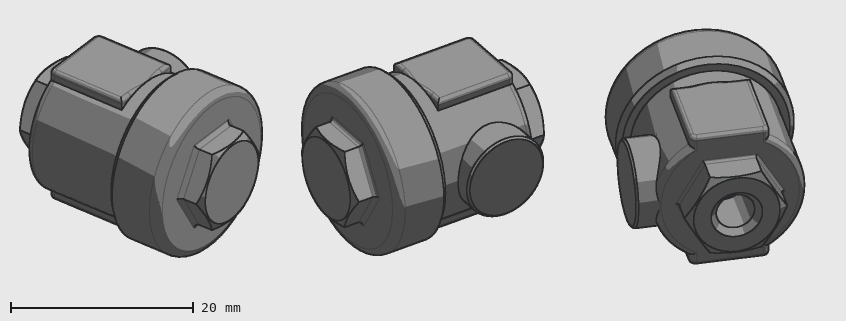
import cadquery as cq
import math

total_length = 25.2
body_start = 3.5
flange_start = 15.72
flange_end = 22.4

body_diameter = 17.0
body_end_radius = 0.75
flange_diameter = 20.0
flange_chamfer = 0.6
flange_end_radius = 1.0

selection_margin = 0.03

hex_across_flats = 10.0
hex_across_corners = hex_across_flats / math.cos(math.radians(30))
hex_face_diameter = 9.68
hex_chamfer_angle = 30.0
open_hex_root_radius = 0.3
closed_hex_root_radius = 0.5

bore_diameter = 4.3
bore_mouth_diameter = 5.75
bore_depth = 6.3

pad_length = 10.0
pad_width = 8.95
pad_top = 8.52
pad_edge_radius = 0.5
pad_corner_radius = 0.75

port_diameter = 10.0
port_end = 10.48
port_chamfer = 0.25


def x_cylinder(diameter, start, end):
    """Cylinder around the main axis between two X stations."""
    return cq.Workplane("YZ", origin=(start, 0, 0)).circle(diameter / 2).extrude(end - start)


def hexagon_end(face_x, root_x):
    """Hexagonal prism from its free face to its root, corners cut by a cone at the free face."""
    direction = math.copysign(1, root_x - face_x)
    prism = (
        cq.Workplane("YZ", origin=(face_x, 0, 0))
        .polygon(6, hex_across_corners)
        .extrude(root_x - face_x)
    )
    face_radius = hex_face_diameter / 2
    corner_radius = hex_across_corners / 2
    cone_depth = (corner_radius - face_radius) * math.tan(math.radians(hex_chamfer_angle))
    envelope = (
        cq.Workplane("XY")
        .moveTo(face_x, 0)
        .lineTo(face_x, face_radius)
        .lineTo(face_x + direction * cone_depth, corner_radius)
        .lineTo(root_x, corner_radius)
        .lineTo(root_x, 0)
        .close()
        .revolve(360, (0, 0, 0), (1, 0, 0))
    )
    return prism.intersect(envelope)


def pad_block():
    """Block whose top and bottom form the two pads, rounded at its corners on the body end face."""
    block = cq.Workplane("XY").box(pad_length, pad_width, 2 * pad_top)
    block = block.translate((body_start + pad_length / 2, 0, 0))
    return block.edges("<X and |Z").fillet(pad_corner_radius)


def add_pads(solid):
    """Join the pads to the body, then round the rims of their flats where they stand above it."""
    padded = solid.union(pad_block())
    return padded.faces(">Z or <Z").edges().fillet(pad_edge_radius)


def side_port():
    """Round port reaching from the main axis out to +Y."""
    port = (
        cq.Workplane("XZ", origin=(body_start + port_diameter / 2, 0, 0))
        .circle(port_diameter / 2)
        .extrude(-port_end)
    )
    return port.faces(">Y").edges().chamfer(port_chamfer)


def bore():
    """Blind bore with a 45 degree conical mouth."""
    mouth_depth = (bore_mouth_diameter - bore_diameter) / 2
    return (
        cq.Workplane("XY")
        .lineTo(0, bore_mouth_diameter / 2)
        .lineTo(mouth_depth, bore_diameter / 2)
        .lineTo(bore_depth, bore_diameter / 2)
        .lineTo(bore_depth, 0)
        .close()
        .revolve(360, (0, 0, 0), (1, 0, 0))
    )


def fillet_hexagon_root(solid, root_x, radius):
    """Round the six inner edges where a hexagon meets its supporting face."""
    reach = hex_across_corners / 2 + radius
    root_edges = cq.selectors.BoxSelector(
        (root_x - selection_margin, -reach, -reach),
        (root_x + selection_margin, reach, reach),
        boundingbox=True,
    )
    return solid.edges(root_edges).fillet(radius)


body = x_cylinder(body_diameter, body_start, flange_start)
body = body.faces("<X").edges().fillet(body_end_radius)

flange = x_cylinder(flange_diameter, flange_start, flange_end)
flange = flange.faces("<X").edges().chamfer(flange_chamfer)
flange = flange.faces(">X").edges().fillet(flange_end_radius)
flange = flange.union(hexagon_end(total_length, flange_end))
flange = fillet_hexagon_root(flange, flange_end, closed_hex_root_radius)

body = add_pads(body)
body = body.union(hexagon_end(0, body_start))
body = fillet_hexagon_root(body, body_start, open_hex_root_radius)

result = body.union(side_port()).union(flange).cut(bore())